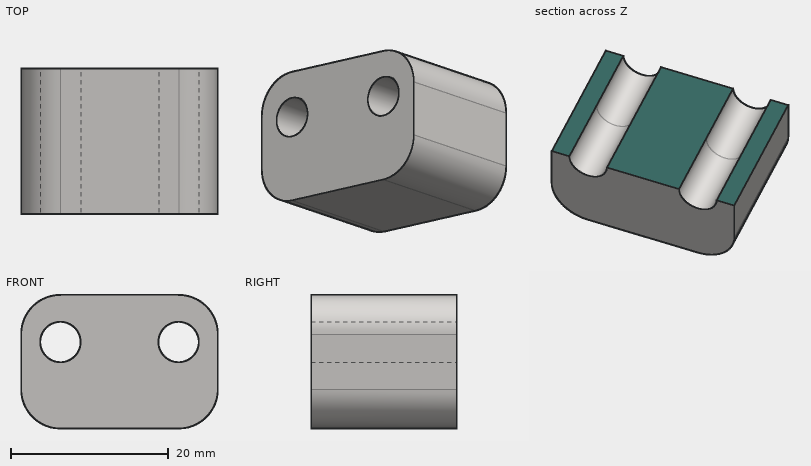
import cadquery as cq

WIDTH = 25.0
DEPTH = 18.5
HEIGHT = 17.0
CORNER_RADIUS = 5.0

HOLE_DIAMETER = 5.1
HOLE_SPACING = WIDTH - 2 * CORNER_RADIUS
HOLE_DROP = 6.0
HOLE_HEIGHT = HEIGHT / 2 - HOLE_DROP


def rounded_block():
    """Block centred on the origin, with its four Y-direction edges rounded."""
    block = cq.Workplane("XY").box(WIDTH, DEPTH, HEIGHT)
    return block.edges("|Y").fillet(CORNER_RADIUS)


def hole_cutters():
    """Pair of cylinders that pass through the full depth of the block."""
    centres = [(side * HOLE_SPACING / 2, HOLE_HEIGHT) for side in (-1, 1)]
    sketch = cq.Workplane("XZ").pushPoints(centres).circle(HOLE_DIAMETER / 2)
    return sketch.extrude(DEPTH, both=True)


result = rounded_block().cut(hole_cutters())